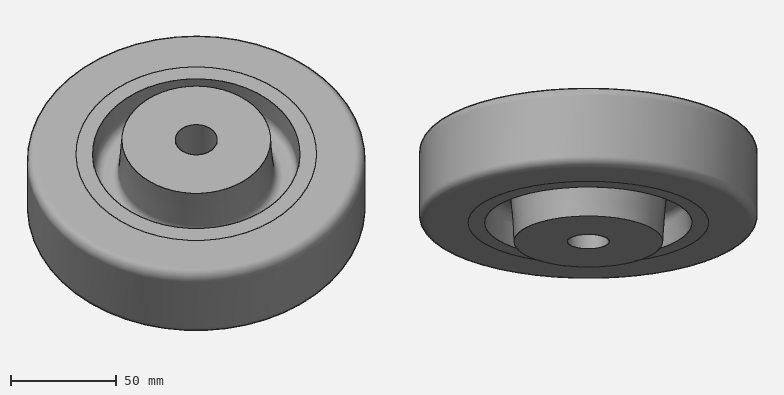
import cadquery as cq
import math

tyre_radius = 80.0
tyre_width = 40.0
tyre_top_fillet = 5.0
tyre_bottom_fillet = 4.0

core_radius = 57.0
hub_length = 59.0
hub_end_radius = 35.2
bore_radius = 10.0
recess_mouth_radius = 49.1
web_thickness = 8.0
web_fillet = 5.0
draft_angle = 4.1

draft_slope = math.tan(math.radians(draft_angle))
half_hub = hub_length / 2
half_tyre = tyre_width / 2
half_web = web_thickness / 2


def make_tyre():
    """Ring with its two outer edges rounded."""
    ring = (
        cq.Workplane("XY", origin=(0, 0, -half_tyre))
        .circle(tyre_radius)
        .extrude(tyre_width)
    )
    ring = ring.faces(">Z").edges().fillet(tyre_top_fillet)
    ring = ring.faces("<Z").edges().fillet(tyre_bottom_fillet)
    return ring.faces(">Z").workplane().circle(core_radius).cutThruAll()


def make_core():
    """Revolved core with a drafted, round-bottomed annular recess on each side."""
    hub_root_radius = hub_end_radius + (half_hub - half_web) * draft_slope
    recess_root_radius = recess_mouth_radius - (half_tyre - half_web) * draft_slope
    core = (
        cq.Workplane("XZ")
        .moveTo(bore_radius, -half_hub)
        .lineTo(hub_end_radius, -half_hub)
        .lineTo(hub_root_radius, -half_web)
        .lineTo(recess_root_radius, -half_web)
        .lineTo(recess_mouth_radius, -half_tyre)
        .lineTo(core_radius, -half_tyre)
        .lineTo(core_radius, half_tyre)
        .lineTo(recess_mouth_radius, half_tyre)
        .lineTo(recess_root_radius, half_web)
        .lineTo(hub_root_radius, half_web)
        .lineTo(hub_end_radius, half_hub)
        .lineTo(bore_radius, half_hub)
        .close()
        .revolve(360, (0, 0, 0), (0, 1, 0))
    )
    web_zone = cq.selectors.BoxSelector(
        (-core_radius, -core_radius, -half_web - web_fillet / 2),
        (core_radius, core_radius, half_web + web_fillet / 2),
    )
    return core.faces("|Z").faces(web_zone).edges("%CIRCLE").fillet(web_fillet)


tyre = make_tyre()
core = make_core()
result = cq.Compound.makeCompound([tyre.val(), core.val()])